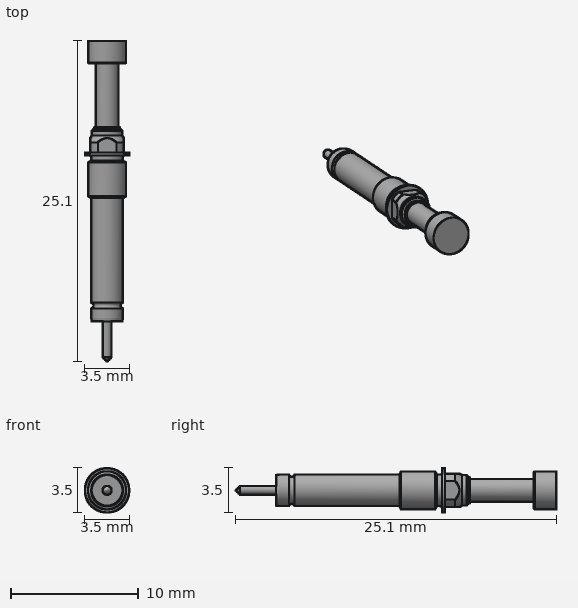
import cadquery as cq
import math

total_length = 25.15
head_y = total_length / 2

head_dia = 3.0
plunger_dia = 1.8
lip_dia = 2.05
neck_dia = 2.41
nut_dia = 3.02
nut_across_flats = 2.65
washer_dia = 3.5
collar_dia = 3.0
body_dia = 2.5
groove_dia = 2.15
body_end_dia = 2.41
pin_dia = 0.7

head_length = 1.79
lip_start = 6.77
neck_start = 7.07
neck_end = 7.42
washer_start = 8.75
washer_thickness = 0.23
washer_end = washer_start + washer_thickness
collar_start = 9.38
collar_end = 12.32
groove_start = 20.52
groove_end = 20.98
body_end = 21.98

head_chamfer = 0.1
lip_chamfer = 0.08
collar_cone_length = 0.15
body_end_chamfer_length = 0.23
washer_fillet = 0.13
nut_cone_angle = 30.0
flat_count = 4


def section(outline_dias, start, end):
    """Turned section: (distance from head face, diameter) points revolved about Y."""
    points = [(dia / 2, head_y - distance) for distance, dia in outline_dias]
    outline = [(0, head_y - start)] + points + [(0, head_y - end)]
    return cq.Workplane("XY").polyline(outline).close().revolve(360, (0, 0, 0), (0, 1, 0))


def rod(dia, start, end):
    return section([(start, dia), (end, dia)], start, end)


def make_head():
    return rod(head_dia, 0, head_length).faces("<Y").edges().chamfer(head_chamfer)


def make_neck():
    """Stepped neck: thin lip, then a 45 degree shoulder up to the neck diameter."""
    shoulder_start = neck_start - (neck_dia - lip_dia) / 2
    return section(
        [
            (lip_start, lip_dia - lip_chamfer),
            (lip_start + lip_chamfer, lip_dia),
            (shoulder_start, lip_dia),
            (neck_start, neck_dia),
            (neck_end, neck_dia),
        ],
        lip_start,
        neck_end,
    )


def make_nut():
    """Round nut with a conical lead-in and evenly spaced wrench flats."""
    cone_length = (nut_dia - neck_dia) / 2 / math.tan(math.radians(nut_cone_angle))
    blank = section(
        [(neck_end, neck_dia), (neck_end + cone_length, nut_dia), (washer_start, nut_dia)],
        neck_end,
        washer_start,
    )
    corner_dia = nut_across_flats / math.cos(math.pi / flat_count)
    flats = (
        cq.Workplane("XZ", origin=(0, head_y, 0))
        .transformed(rotate=(0, 0, 180 / flat_count))
        .polygon(flat_count, corner_dia)
        .extrude(total_length)
    )
    return blank.intersect(flats)


def make_collar():
    """Press ring with a short cone at each end blending into the barrel."""
    return section(
        [
            (collar_start, body_dia),
            (collar_start + collar_cone_length, collar_dia),
            (collar_end - collar_cone_length, collar_dia),
            (collar_end, body_dia),
        ],
        collar_start,
        collar_end,
    )


def make_body():
    """Barrel with a chamfered free end and a round-bottomed locking groove."""
    barrel = section(
        [
            (washer_start, body_dia),
            (body_end - body_end_chamfer_length, body_dia),
            (body_end, body_end_dia),
        ],
        washer_start,
        body_end,
    )
    body_radius = body_dia / 2
    groove_middle = (groove_start + groove_end) / 2
    groove = (
        cq.Workplane("XY")
        .moveTo(body_radius, head_y - groove_start)
        .threePointArc((groove_dia / 2, head_y - groove_middle), (body_radius, head_y - groove_end))
        .close()
        .revolve(360, (0, 0, 0), (0, 1, 0))
    )
    return barrel.cut(groove)


def make_washer_fillet():
    """Concave ring that blends the barrel into the pin-side face of the washer."""
    corner_radius = body_dia / 2
    corner_y = head_y - washer_end
    arc_offset = washer_fillet * (1 - math.sqrt(0.5))
    return (
        cq.Workplane("XY")
        .moveTo(0, corner_y)
        .lineTo(corner_radius + washer_fillet, corner_y)
        .threePointArc(
            (corner_radius + arc_offset, corner_y - arc_offset),
            (corner_radius, corner_y - washer_fillet),
        )
        .lineTo(0, corner_y - washer_fillet)
        .close()
        .revolve(360, (0, 0, 0), (0, 1, 0))
    )


def make_pin():
    """Contact pin with a 90 degree pointed tip."""
    cone_start = total_length - pin_dia / 2
    return section([(body_end, pin_dia), (cone_start, pin_dia)], body_end, total_length)


plunger = rod(plunger_dia, head_length, lip_start)
washer = rod(washer_dia, washer_start, washer_end)

pieces = (
    plunger,
    make_neck(),
    make_nut(),
    washer,
    make_washer_fillet(),
    make_collar(),
    make_body(),
    make_pin(),
)
result = make_head()
for piece in pieces:
    result = result.union(piece)